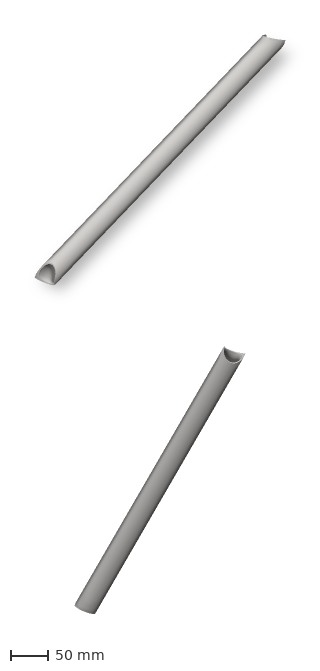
import cadquery as cq
import math

outer_diameter = 30.0
wall = 2.0
mating_diameter = 30.0
mating_lean = 17.0
tip_length = 583.7

rise = 4.22
side_shift = 0.56
roll = -8.0

outer_radius = outer_diameter / 2
stock_length = tip_length + outer_diameter
pitch = math.degrees(math.atan(rise / tip_length))
yaw = math.degrees(math.atan(side_shift / tip_length))


def make_stock():
    """Plain tube centred on the origin, running along Y."""
    ring = cq.Workplane("XZ").circle(outer_radius).circle(outer_radius - wall)
    return ring.extrude(stock_length / 2, both=True)


def make_end_cutter(end):
    """Mating tube's envelope and all stock beyond it; end is +1 for +Y, -1 for -Y."""
    mating_radius = mating_diameter / 2
    reach = 2 * outer_diameter
    cutter = cq.Workplane("XY").circle(mating_radius).extrude(reach, both=True)
    beyond = cq.Workplane("XY").box(reach, reach, 2 * reach).translate((0, end * reach / 2, 0))
    cutter = cutter.union(beyond)
    cutter = cutter.rotate((0, 0, 0), (1, 0, 0), end * mating_lean)
    return cutter.translate((0, end * tip_length / 2, 0))


def orient(tube):
    """Roll the tube about its axis, then pitch and swing it into its final direction."""
    tube = tube.rotate((0, 0, 0), (0, 1, 0), roll)
    tube = tube.rotate((0, 0, 0), (1, 0, 0), pitch)
    return tube.rotate((0, 0, 0), (0, 0, 1), yaw)


coped_tube = make_stock()
for end in (1, -1):
    coped_tube = coped_tube.cut(make_end_cutter(end))

result = orient(coped_tube)